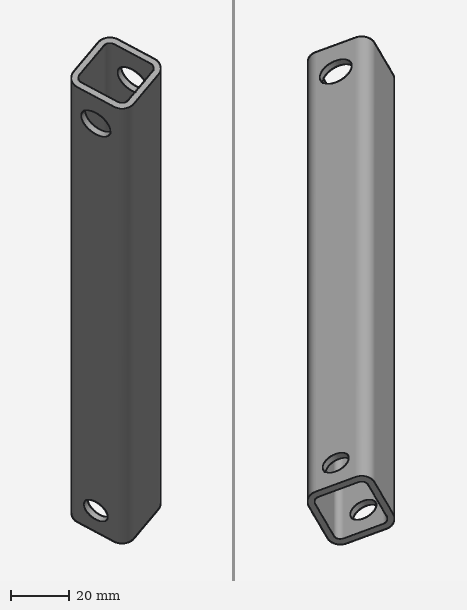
import cadquery as cq

length = 247.0
width = 25.0
wall = 2.5
outer_radius = 5.0
inner_radius = outer_radius - wall

lower_hole_diameter = 10.0
lower_hole_offset = 12.0
upper_hole_diameter = 12.0
upper_hole_offset = 15.0


def rounded_bar(side, corner_radius):
    """Solid square bar with rounded long edges, based on Z = 0."""
    return cq.Workplane("XY").rect(side, side).extrude(length).edges("|Z").fillet(corner_radius)


def cross_hole(diameter, height):
    """Cylinder along Y that passes through both tube walls."""
    return (
        cq.Workplane("XZ")
        .center(0, height)
        .circle(diameter / 2)
        .extrude(width, both=True)
    )


tube = rounded_bar(width, outer_radius).cut(rounded_bar(width - 2 * wall, inner_radius))

lower_hole = cross_hole(lower_hole_diameter, lower_hole_offset)
upper_hole = cross_hole(upper_hole_diameter, length - upper_hole_offset)

result = tube.cut(lower_hole).cut(upper_hole)